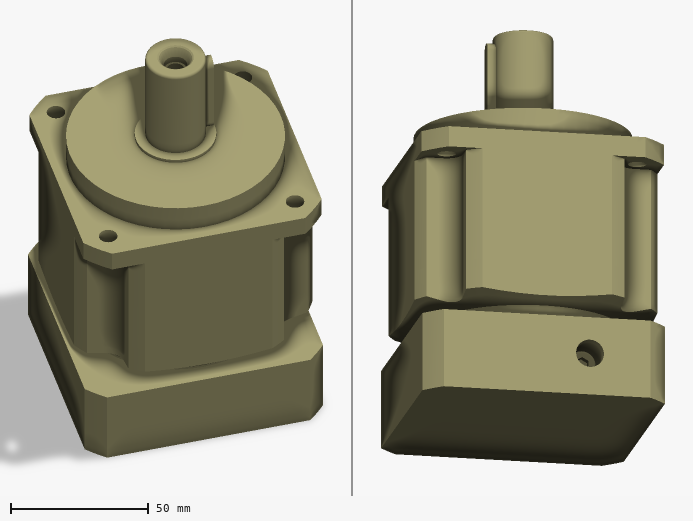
import cadquery as cq
import math


motor_flange_top = 29.3
neck_bottom = 30.3
neck_top = 34.7
cone_top = 38.4
housing_joint = 49.2
mounting_flange_bottom = 91.0
mounting_flange_top = 98.6
pilot_top = 109.0
shoulder_top = 110.2
shaft_top = 147.0

square_side = 90.0
motor_flange_corner_radius = 59.1
mounting_flange_corner_radius = 57.9
housing_corner_radius = 51.0
pilot_radius = 39.8
neck_radius = 38.4
spigot_base_radius = 38.2
spigot_top_radius = spigot_base_radius - (neck_bottom - motor_flange_top)

bolt_offset = 35.3
bolt_hole_diameter = 6.8
groove_radius = 5.9

shaft_radius = 11.0
shaft_edge_radius = 1.0
shoulder_radius = 14.8

key_width = 6.0
key_bottom = 111.7
key_top = 144.0
key_outer_face = 13.7
key_inner_face = key_outer_face - key_width

bore_rim_radius = 6.6
bore_seat_radius = 6.0
bore_thread_radius = 4.3
bore_core_radius = 3.4
bore_rim_depth = 0.5
bore_seat_depth = 3.5
bore_thread_depth = 6.0
bore_core_depth = 25.0
drill_point_angle = 118.0

screw_y = -15.9
screw_z = 15.6
screw_head_diameter = 10.3
screw_head_length = 6.0
screw_head_edge_radius = 0.9
screw_socket_across_flats = 4.7
screw_socket_depth = 3.0
access_hole_depth = 20.6


def cylinder(radius, bottom, top):
    return cq.Workplane("XY").workplane(offset=bottom).circle(radius).extrude(top - bottom)


def rounded_square(corner_radius, bottom, top):
    """Square block whose corners are turned down to a radius about the Z axis."""
    block = cq.Workplane("XY").workplane(offset=bottom).rect(square_side, square_side).extrude(top - bottom)
    return block.intersect(cylinder(corner_radius, bottom, top))


def corner_grooves(bottom, top):
    """Four grooves, round at the inner end and open towards the corners of the square."""
    reach = square_side / 2
    inner = bolt_offset - groove_radius
    groove = (
        cq.Workplane("XY")
        .workplane(offset=bottom)
        .moveTo(inner, reach)
        .lineTo(inner, bolt_offset)
        .radiusArc((bolt_offset, inner), -groove_radius)
        .lineTo(reach, inner)
        .lineTo(reach, reach)
        .close()
        .extrude(top - bottom)
    )
    grooves = groove
    for quarter in range(1, 4):
        grooves = grooves.union(groove.rotate((0, 0, 0), (0, 0, 1), 90 * quarter))
    return grooves


def grooved_barrel(bottom, top):
    return rounded_square(housing_corner_radius, bottom, top).cut(corner_grooves(bottom, top))


def make_front_section():
    """Grooved barrel with the square mounting flange and the round pilot."""
    barrel = grooved_barrel(housing_joint, mounting_flange_bottom)
    flange = rounded_square(mounting_flange_corner_radius, mounting_flange_bottom, mounting_flange_top)
    bolt_holes = (
        cq.Workplane("XY")
        .workplane(offset=mounting_flange_bottom)
        .rect(2 * bolt_offset, 2 * bolt_offset, forConstruction=True)
        .vertices()
        .circle(bolt_hole_diameter / 2)
        .extrude(mounting_flange_top - mounting_flange_bottom)
    )
    pilot = cylinder(pilot_radius, mounting_flange_top, pilot_top)
    return barrel.union(flange.cut(bolt_holes)).union(pilot)


def make_rear_section():
    """Grooved barrel turned down through a shallow cone to the neck."""
    envelope = (
        cq.Workplane("XZ")
        .moveTo(0, neck_bottom)
        .lineTo(neck_radius, neck_bottom)
        .lineTo(neck_radius, neck_top)
        .lineTo(housing_corner_radius, cone_top)
        .lineTo(housing_corner_radius, housing_joint)
        .lineTo(0, housing_joint)
        .close()
        .revolve(360, (0, 0, 0), (0, 1, 0))
    )
    return grooved_barrel(neck_bottom, housing_joint).intersect(envelope)


def make_housing():
    """One solid; leaving the union uncleaned keeps the edge line around the joint."""
    return make_front_section().union(make_rear_section(), clean=False)


def screw_plane(depth):
    """Plane facing -X, centred on the screw axis, at a depth below the -X side."""
    return cq.Workplane(
        cq.Plane(
            origin=(-square_side / 2 + depth, screw_y, screw_z),
            xDir=(0, -1, 0),
            normal=(-1, 0, 0),
        )
    )


def make_motor_flange():
    block = rounded_square(motor_flange_corner_radius, 0, motor_flange_top)
    spigot = (
        cq.Workplane("XZ")
        .moveTo(0, motor_flange_top)
        .lineTo(spigot_base_radius, motor_flange_top)
        .lineTo(spigot_top_radius, neck_bottom)
        .lineTo(0, neck_bottom)
        .close()
        .revolve(360, (0, 0, 0), (0, 1, 0))
    )
    access_hole = screw_plane(access_hole_depth).circle(screw_head_diameter / 2).extrude(access_hole_depth)
    return block.union(spigot).cut(access_hole)


def make_clamping_screw():
    """Socket head seated on the bottom of the access hole."""
    head = (
        screw_plane(access_hole_depth)
        .circle(screw_head_diameter / 2)
        .extrude(screw_head_length)
        .faces("<X")
        .fillet(screw_head_edge_radius)
    )
    across_corners = screw_socket_across_flats / math.cos(math.radians(30))
    socket = (
        screw_plane(access_hole_depth - screw_head_length + screw_socket_depth)
        .transformed(rotate=(0, 0, 90))
        .polygon(6, across_corners)
        .extrude(screw_socket_depth)
    )
    return head.cut(socket)


def make_centre_bore():
    """Stepped bore: protected rim, 60 degree seat, thread relief, core hole with drill point."""
    point_length = bore_core_radius / math.tan(math.radians(drill_point_angle / 2))
    return (
        cq.Workplane("XZ")
        .moveTo(0, shaft_top)
        .lineTo(bore_rim_radius, shaft_top)
        .lineTo(bore_seat_radius, shaft_top - bore_rim_depth)
        .lineTo(bore_thread_radius, shaft_top - bore_seat_depth)
        .lineTo(bore_thread_radius, shaft_top - bore_thread_depth)
        .lineTo(bore_core_radius, shaft_top - bore_thread_depth)
        .lineTo(bore_core_radius, shaft_top - bore_core_depth)
        .lineTo(0, shaft_top - bore_core_depth - point_length)
        .close()
        .revolve(360, (0, 0, 0), (0, 1, 0))
    )


def make_output_shaft(key):
    """Shaft and shoulder standing on the pilot face, with a keyway that fits the key."""
    shoulder = cylinder(shoulder_radius, pilot_top, shoulder_top)
    journal = cylinder(shaft_radius, shoulder_top, shaft_top).faces(">Z").fillet(shaft_edge_radius)
    return shoulder.union(journal).cut(key).cut(make_centre_bore())


def make_key():
    """Round-ended key on the +Y side of the shaft."""
    return (
        cq.Workplane("XZ", origin=(0, key_inner_face, (key_bottom + key_top) / 2))
        .slot2D(key_top - key_bottom, key_width, 90)
        .extrude(key_inner_face - key_outer_face)
    )


housing = make_housing()
motor_flange = make_motor_flange()
clamping_screw = make_clamping_screw()
key = make_key()
output_shaft = make_output_shaft(key)

result = cq.Compound.makeCompound([
    housing.val(),
    motor_flange.val(),
    clamping_screw.val(),
    output_shaft.val(),
    key.val(),
])